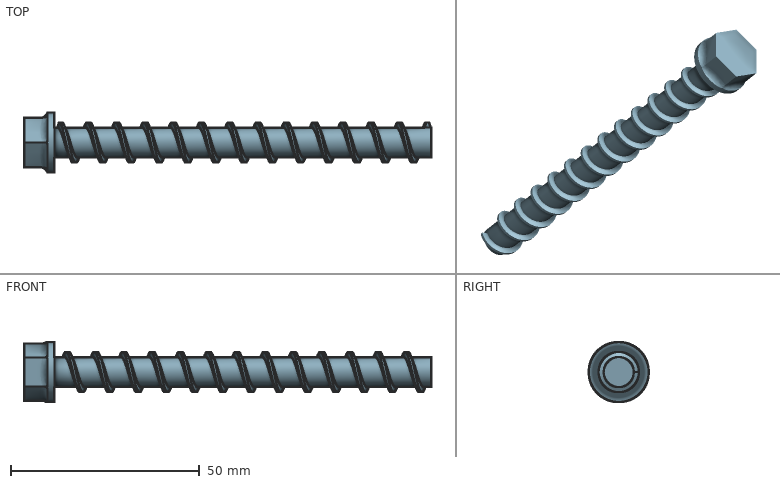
import cadquery as cq
import math

total_length = 108.0
core_diameter = 8.0
core_radius = core_diameter / 2

head_across_flats = 13.2
head_across_corners = head_across_flats / math.cos(math.pi / 6)
flange_diameter = 16.0
flange_radius = flange_diameter / 2
flange_rim_start = 6.3
head_height = 8.0
flange_slope = math.radians(30)
root_fillet = 1.8

thread_diameter = 10.7
thread_radius = thread_diameter / 2
thread_length = 97.4
thread_turns = 13
thread_pitch = thread_length / thread_turns
thread_start = 9.6
thread_root_width = 1.6
thread_crest_width = 0.8
thread_embed = 0.2


def make_head():
    """Hexagon filleted into a conical flange, trimmed to the round rim."""
    hexagon = (
        cq.Workplane("YZ")
        .polygon(6, head_across_corners)
        .extrude(head_height)
        .rotate((0, 0, 0), (1, 0, 0), 90)
    )
    cone_radius = flange_radius * 2
    slope_ratio = math.tan(flange_slope)
    cone_apex = flange_rim_start - flange_radius * slope_ratio
    cone_edge = cone_apex + cone_radius * slope_ratio
    base_end = cone_edge + head_height
    cone = (
        cq.Workplane("XY")
        .polyline([(cone_apex, 0), (cone_edge, cone_radius), (base_end, cone_radius), (base_end, 0)])
        .close()
        .revolve(360, (0, 0, 0), (1, 0, 0))
    )
    flat_distance = head_across_flats / 2
    corner_distance = head_across_corners / 2
    root_start = cone_apex + flat_distance * slope_ratio
    root_end = cone_apex + corner_distance * slope_ratio
    margin = 0.1
    half_span = corner_distance + margin
    root_edges = cq.selectors.BoxSelector(
        (root_start - margin, -half_span, -half_span),
        (root_end + margin, half_span, half_span),
        boundingbox=True,
    )
    blank = hexagon.union(cone).edges(root_edges).fillet(root_fillet)
    envelope = cq.Workplane("YZ").circle(flange_radius).extrude(head_height)
    return blank.intersect(envelope)


def make_core():
    """Plain round shank from the flange to the tip."""
    return (
        cq.Workplane("YZ", origin=(head_height, 0, 0))
        .circle(core_radius)
        .extrude(total_length - head_height)
    )


def make_thread():
    """Trapezoidal thread, swept about Z and then turned onto the X axis."""
    root_radius = core_radius - thread_embed
    flank_slope = (thread_root_width - thread_crest_width) / 2 / (thread_radius - core_radius)
    half_root = thread_root_width / 2 + flank_slope * thread_embed
    half_crest = thread_crest_width / 2
    helix = cq.Wire.makeHelix(thread_pitch, thread_length, core_radius)
    thread = (
        cq.Workplane("XZ")
        .polyline([
            (root_radius, -half_root),
            (thread_radius, -half_crest),
            (thread_radius, half_crest),
            (root_radius, half_root),
        ])
        .close()
        .sweep(helix, isFrenet=True)
    )
    thread = thread.rotate((0, 0, 0), (1, 1, 1), 120)
    return thread.translate((thread_start, 0, 0))


result = make_head().union(make_core()).union(make_thread())